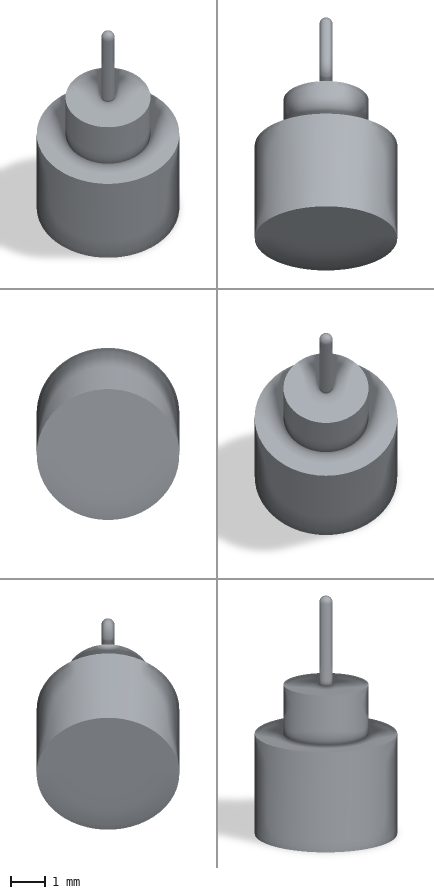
import cadquery as cq

total_height = 7.25
body_diameter = 4.2
body_height = 3.05
neck_diameter = 2.5
neck_height = 1.5
pin_diameter = 0.385

neck_top = body_height + neck_height
pin_radius = pin_diameter / 2
dome_center_height = total_height - pin_radius


def cylinder(diameter, bottom, top):
    """Upright cylinder on the Z axis between two heights."""
    return cq.Workplane("XY").workplane(offset=bottom).circle(diameter / 2).extrude(top - bottom)


body = cylinder(body_diameter, 0, body_height)
neck = cylinder(neck_diameter, body_height, neck_top)

pin_shank = cylinder(pin_diameter, neck_top, dome_center_height)
pin_tip = cq.Workplane("XY").sphere(pin_radius, angle1=0).translate((0, 0, dome_center_height))

result = body.union(neck).union(pin_shank).union(pin_tip)